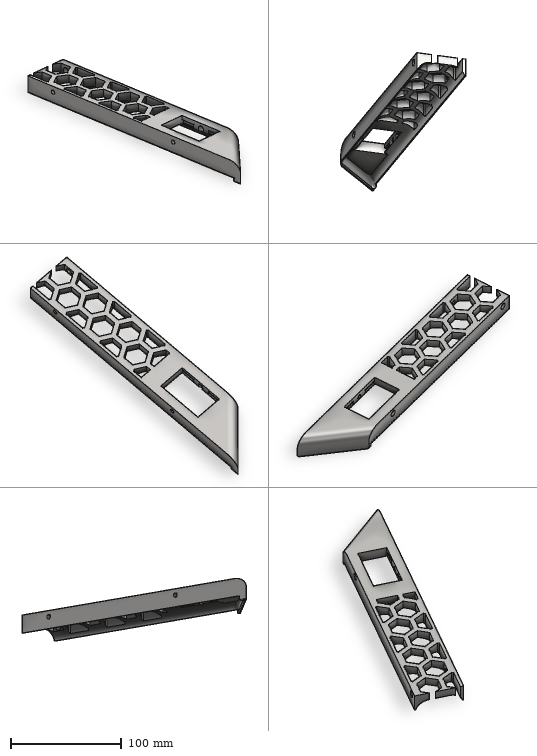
import cadquery as cq
import math

length = 265.9
width = 46.8
height = 21.0
nose_radius = 10.0
side_round = 2.0

ceiling = 8.0
thick_ceiling = 10.0
wall_bottom = 16.7
arch_radius = 13.3
side_wall = 0.3
nose_wall = 2.0
channel_fillet = 2.5
lip_bevel = 1.0

hex_flats = 20.0
hex_pitch = 25.0
first_cell_x = 9.8
first_cell_y = 4.8
honeycomb_end = 138.8
side_margin = 3.2
cell_columns = 7
cell_rows = 2

window_start = 158.0
window_length = 47.3
window_width = 27.5
window_y = 9.3
boss_length = 18.5
slot_depth = 1.9
slot_top = 4.3
slot_bottom = 8.0

hole_depth = 5.8
near_hole = 4.0
far_hole = 6.0

window_center = window_start + window_length / 2
column_step = hex_pitch * math.cos(math.radians(30))
center_y = width / 2
wall_start = length - nose_wall * math.sqrt(2)


def box(x0, x1, y0, y1, z0, z1):
    return cq.Workplane("XY").box(x1 - x0, y1 - y0, z1 - z0, centered=False).translate((x0, y0, z0))


def slanted_outline(end):
    """Outline of a bar whose slanted end meets the -Y side at the given X."""
    return cq.Workplane("XY").polyline([(0, 0), (end, 0), (end - width, width), (0, width)]).close()


def make_blank():
    """Bar with one end cut off at 45 degrees and its edges rounded."""
    blank = slanted_outline(length).extrude(-height)
    blank = blank.faces(">(1, 1, 0)").edges(">Z").fillet(nose_radius)
    return blank.faces("<Z").edges("<Y or >Y").fillet(side_round)


def make_arch():
    """Arched channel along X, rounded where it meets the slanted wall."""
    half_width = center_y - side_wall
    half_flat = half_width - arch_radius
    diagonal = arch_radius * math.sqrt(0.5)
    spring_z = -ceiling - arch_radius
    arch = (
        cq.Workplane("YZ")
        .moveTo(half_width, spring_z)
        .threePointArc((half_flat + diagonal, spring_z + diagonal), (half_flat, -ceiling))
        .lineTo(-half_flat, -ceiling)
        .threePointArc((-half_flat - diagonal, spring_z + diagonal), (-half_width, spring_z))
        .close()
        .extrude(length)
        .translate((0, center_y, 0))
    )
    arch = arch.intersect(slanted_outline(wall_start).extrude(-2 * height))
    arch = arch.faces(">(1, 1, 0)").edges("not <Z").fillet(channel_fillet)
    thick_plate = box(window_start + window_length, length, 0, width, -thick_ceiling, 0)
    return arch.cut(thick_plate)


def make_undercut():
    """Space that shortens both sides, up to the rounded corner of the slanted wall."""
    corner_angle = math.radians(45)
    corner_run = channel_fillet / math.tan(corner_angle / 2)
    undercut = slanted_outline(wall_start).extrude(-height)
    return undercut.intersect(box(0, wall_start - corner_run, 0, width, -height, -wall_bottom))


def make_lip_bevel():
    """Wedge along the inner bottom edge of the slanted wall."""
    run = lip_bevel * math.sqrt(2)
    wedge = [(wall_start, -height + lip_bevel), (wall_start + run, -height), (wall_start, -height)]
    path = cq.Workplane("XY").moveTo(wall_start, 0).lineTo(wall_start - width, width)
    return cq.Workplane("XZ").polyline(wedge).close().sweep(path)


def make_honeycomb():
    """Hexagonal cells in staggered columns, trimmed to the honeycomb field."""
    corner_diameter = hex_flats / math.cos(math.radians(30))
    centers = []
    for column in range(cell_columns):
        x = first_cell_x + column * column_step
        start_y = first_cell_y + (column % 2) * (hex_pitch / 2)
        for row in range(cell_rows):
            centers.append((x, start_y + row * hex_pitch))
    cells = cq.Workplane("XY").pushPoints(centers).polygon(6, corner_diameter).extrude(-height)
    field = box(0, honeycomb_end, side_margin, width - side_margin, -height, 0)
    return cells.intersect(field)


def make_window():
    """Rectangular opening with two catch slots in each long wall."""
    window_end = window_start + window_length
    window_top_y = window_y + window_width
    window = box(window_start, window_end, window_y, window_top_y, -height, 0)
    slot_near_y = window_y - slot_depth
    slot_far_y = window_top_y + slot_depth
    slots = box(window_start, window_end, slot_near_y, slot_far_y, -slot_bottom, -slot_top)
    boss_start = window_center - boss_length / 2
    boss = box(boss_start, boss_start + boss_length, 0, width, -height, 0)
    return window.union(slots.cut(boss))


def make_hole(x, start_y, diameter):
    """Screw hole running along +Y over half the width of the bar."""
    axis_start = cq.Vector(x, start_y, -hole_depth)
    return cq.Solid.makeCylinder(diameter / 2, center_y, axis_start, cq.Vector(0, 1, 0))


result = make_blank()
for tool in (make_arch(), make_undercut(), make_lip_bevel(), make_honeycomb(), make_window()):
    result = result.cut(tool)
for x in (first_cell_x + column_step, window_center):
    result = result.cut(make_hole(x, 0, near_hole))
for x in (first_cell_x, window_center):
    result = result.cut(make_hole(x, center_y, far_hole))